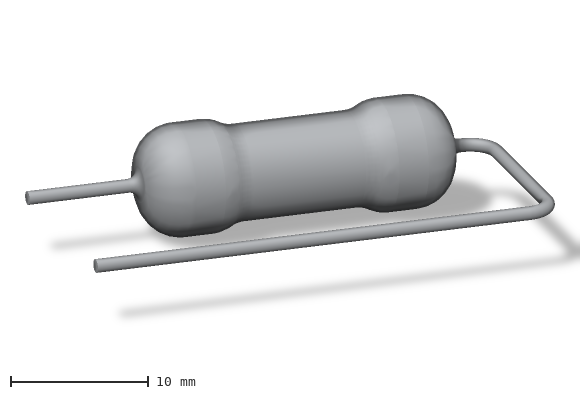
import cadquery as cq
import math

wire_radius = 0.5
total_length = 35.9
lead_spacing = 15.0
bend_radius = 2.0

body_radius = 4.2
waist_radius = 3.572
body_length = 23.85
body_start = 8.58
dome_radius = 2.98
band_length = 2.25
shoulder_length = 2.37
flare_radius = 0.85

body_end = body_start + body_length
wire_top = total_length - wire_radius


def s_curve(profile, end_radius, end_y):
    """Join two axial lines with two equal, mutually tangent arcs."""
    start_radius, start_y = profile.val().endPoint().toTuple()[:2]
    middle = ((start_radius + end_radius) / 2, (start_y + end_y) / 2)
    return profile.tangentArcPoint(middle, relative=False).tangentArcPoint(
        (2 * middle[0] - start_radius, end_y), relative=False
    )


def make_body():
    """Revolve the domed end caps and the narrower waist between them."""
    flat_radius = body_radius - dome_radius
    dome_offset = dome_radius * math.sqrt(0.5)
    band_start = body_start + dome_radius
    band_end = band_start + band_length
    waist_start = band_end + shoulder_length
    upper_band_end = body_end - dome_radius
    upper_band_start = upper_band_end - band_length
    waist_end = upper_band_start - shoulder_length

    profile = (
        cq.Workplane("XY")
        .moveTo(0, body_start)
        .lineTo(flat_radius, body_start)
        .threePointArc(
            (flat_radius + dome_offset, band_start - dome_offset),
            (body_radius, band_start),
        )
        .lineTo(body_radius, band_end)
    )
    profile = s_curve(profile, waist_radius, waist_start)
    profile = profile.lineTo(waist_radius, waist_end)
    profile = s_curve(profile, body_radius, upper_band_start)
    profile = (
        profile.lineTo(body_radius, upper_band_end)
        .threePointArc(
            (flat_radius + dome_offset, upper_band_end + dome_offset),
            (flat_radius, body_end),
        )
        .lineTo(0, body_end)
        .close()
    )
    return profile.revolve(360, (0, 0, 0), (0, 1, 0))


def make_flare(face_y, outward):
    """Concave collar from a body end onto the wire; its foot sinks into the dome."""
    sink_depth = 0.18
    foot_radius = wire_radius + flare_radius
    arc_offset = flare_radius * (1 - math.sqrt(0.5))
    tip_y = face_y + outward * flare_radius
    sunk_y = face_y - outward * sink_depth
    return (
        cq.Workplane("XY")
        .moveTo(0, sunk_y)
        .lineTo(wire_radius + flare_radius / 2, sunk_y)
        .lineTo(foot_radius, face_y)
        .threePointArc(
            (wire_radius + arc_offset, face_y + outward * arc_offset),
            (wire_radius, tip_y),
        )
        .lineTo(0, tip_y)
        .close()
        .revolve(360, (0, 0, 0), (0, 1, 0))
    )


def make_straight_lead():
    lead_length = body_start + dome_radius
    return cq.Workplane("XZ").circle(wire_radius).extrude(-lead_length)


def make_bent_lead():
    """Wire leaving the upper end, crossing over and running back to Y = 0."""
    bend_offset = bend_radius * (1 - math.sqrt(0.5))
    bend_y = wire_top - bend_radius
    start_y = body_end - dome_radius
    path = (
        cq.Workplane("XY")
        .moveTo(0, start_y)
        .lineTo(0, bend_y)
        .threePointArc((bend_offset, wire_top - bend_offset), (bend_radius, wire_top))
        .lineTo(lead_spacing - bend_radius, wire_top)
        .threePointArc(
            (lead_spacing - bend_offset, wire_top - bend_offset),
            (lead_spacing, bend_y),
        )
        .lineTo(lead_spacing, 0)
    )
    return cq.Workplane("XZ", origin=(0, start_y, 0)).circle(wire_radius).sweep(path)


result = (
    make_body()
    .union(make_flare(body_start, -1))
    .union(make_flare(body_end, 1))
    .union(make_straight_lead())
    .union(make_bent_lead())
)